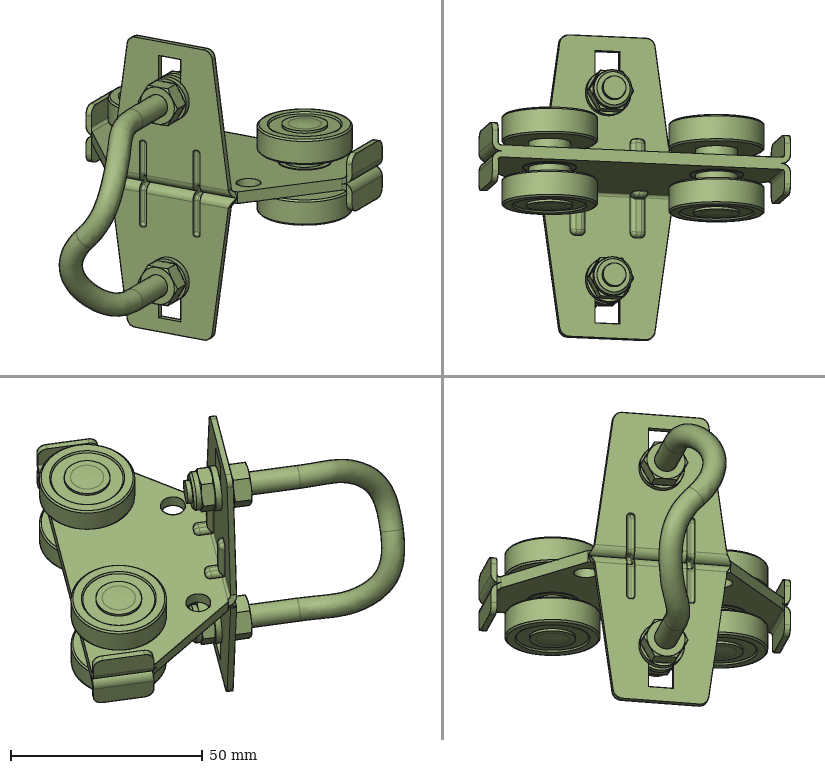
import cadquery as cq
import math


TOTAL_LENGTH = 92.5
FRONT_REACH = 47.7
TOTAL_WIDTH = 80.0
TOTAL_HEIGHT = 80.5

WEB_THICKNESS = 3.2
SHEET = WEB_THICKNESS / 2
INNER_BEND = 0.8
OUTER_BEND = INNER_BEND + SHEET
CORNER_RADIUS = 2.5
WEB_REAR = 42.4
SIDE_LIP_FRONT = 26.3
SIDE_LIP_HEIGHT = 8.0
WEB_SHOULDER_Y = 25.2
WEB_FRONT_HALF_WIDTH = 19.05
PLATE_BASE_HALF_WIDTH = 17.7
PLATE_TIP_HALF_WIDTH = 12.5
HALF_WIDTH = TOTAL_WIDTH / 2
HALF_HEIGHT = TOTAL_HEIGHT / 2

WEB_HOLE_DIAMETER = 6.5
WEB_HOLE_X = 17.9
WEB_HOLE_Y = 10.3
BOLT_SLOT_WIDTH = 6.7
BOLT_SLOT_TOP = 36.35

BEAD_X = 8.05
BEAD_HEIGHT = 1.5
BEAD_WIDTH = 4.0
BEAD_TOP = 13.2
BEAD_REAR = 6.7
BEAD_ROUNDING = 1.4
BEAD_TOP_ROUNDING = 1.3
GROOVE_WIDTH = 2.1
GROOVE_INSET = 1.2
GROOVE_END_FILLET = 0.9
GROOVE_FLOOR_FILLET = 0.7

WHEEL_X = 22.4
WHEEL_RADIUS = 12.5
WHEEL_Y = TOTAL_LENGTH - FRONT_REACH - WHEEL_RADIUS
WHEEL_BOTTOM = 4.9
WHEEL_TOP = 11.9
WHEEL_CHAMFER = 0.5
RECESS_RADIUS = 9.8
RECESS_FLOOR_RADIUS = 9.4
RECESS_DEPTH = 0.5
HUB_RADIUS = 6.0
HUB_TOP = 12.1
PIN_TIP_RADIUS = 4.35
PIN_TIP_TOP = 12.5
SPACER_RADIUS = 5.55
SHIM_RADIUS = 7.0
SHIM_TOP = 1.85

ROD_DIAMETER = 6.1
ROD_REAR = 10.3
LEG_Z = 25.0
LOOP_RADIUS = LEG_Z
LOOP_START = -FRONT_REACH + ROD_DIAMETER / 2 + LOOP_RADIUS
LOOP_SWING = 5.7
LOOP_SHOULDER_SWING = 3.1
LOOP_CROSSING_SLOPE = 1.0

NUT_FLATS = 10.3
NUT_CORNERS = NUT_FLATS / math.cos(math.pi / 6)
NUT_FACE_RADIUS = 5.1
NUT_CHAMFER = 0.3
FRONT_NUT_HEIGHT = 4.8
REAR_NUT_HEIGHT = 3.6
COLLAR_RADIUS = 5.1
COLLAR_HEIGHT = 2.0
COLLAR_CHAMFER = 0.65
WASHER_RADIUS = 5.9
WASHER_THICKNESS = 1.7


def bent_lip(plane, edge, height, length):
    """L-shaped strip whose outer face stands at local x = edge, extruded along the plane normal."""
    center = (edge - OUTER_BEND, OUTER_BEND)
    diagonal = math.sqrt(0.5)
    outer_mid = (center[0] + OUTER_BEND * diagonal, center[1] - OUTER_BEND * diagonal)
    inner_mid = (center[0] + INNER_BEND * diagonal, center[1] - INNER_BEND * diagonal)
    return (
        cq.Workplane(plane)
        .moveTo(center[0] - SHEET, 0)
        .lineTo(center[0], 0)
        .threePointArc(outer_mid, (edge, OUTER_BEND))
        .lineTo(edge, height)
        .lineTo(edge - SHEET, height)
        .lineTo(edge - SHEET, OUTER_BEND)
        .threePointArc(inner_mid, (center[0], SHEET))
        .lineTo(center[0] - SHEET, SHEET)
        .close()
        .extrude(length)
    )


def web():
    """Flat area of the upper sheet, inside all of its bend lines."""
    half_width = HALF_WIDTH - OUTER_BEND
    half_outline = [
        (WEB_FRONT_HALF_WIDTH, OUTER_BEND),
        (half_width, WEB_SHOULDER_Y),
        (half_width, WEB_REAR),
    ]
    mirrored = [(-x, y) for x, y in reversed(half_outline)]
    sheet = cq.Workplane("XY").polyline(half_outline + mirrored).close().extrude(SHEET)
    holes = (
        cq.Workplane("XY")
        .pushPoints([(-WEB_HOLE_X, WEB_HOLE_Y), (WEB_HOLE_X, WEB_HOLE_Y)])
        .circle(WEB_HOLE_DIAMETER / 2)
        .extrude(SHEET)
    )
    return sheet.cut(holes)


def side_lip():
    """Rounded lip turned up along the +X edge, its bend narrowing towards the lip."""
    plane = cq.Plane(origin=(0, WEB_REAR, 0), xDir=(1, 0, 0), normal=(0, -1, 0))
    lip = bent_lip(plane, HALF_WIDTH, SIDE_LIP_HEIGHT, WEB_REAR - WEB_SHOULDER_Y)
    bend_start = HALF_WIDTH - OUTER_BEND
    plan = (
        cq.Workplane("XY")
        .polyline([
            (bend_start - SHEET, WEB_SHOULDER_Y),
            (bend_start, WEB_SHOULDER_Y),
            (HALF_WIDTH - SHEET, SIDE_LIP_FRONT),
            (HALF_WIDTH, SIDE_LIP_FRONT),
            (HALF_WIDTH, WEB_REAR),
            (bend_start - SHEET, WEB_REAR),
        ])
        .close()
        .extrude(SIDE_LIP_HEIGHT)
    )
    return lip.intersect(plan).edges("|X and >Z").fillet(CORNER_RADIUS)


def face_plate():
    """Tapered plate turned up along the front edge, with its bolt slot."""
    half_width = WEB_FRONT_HALF_WIDTH
    plane = cq.Plane(origin=(half_width, 0, 0), xDir=(0, -1, 0), normal=(-1, 0, 0))
    plate = bent_lip(plane, 0, HALF_HEIGHT, 2 * half_width)
    half_outline = [
        (half_width, 0),
        (PLATE_BASE_HALF_WIDTH, OUTER_BEND),
        (PLATE_TIP_HALF_WIDTH, HALF_HEIGHT),
    ]
    mirrored = [(-x, z) for x, z in reversed(half_outline)]
    outline = (
        cq.Workplane("XZ", origin=(0, OUTER_BEND + SHEET, 0))
        .polyline(half_outline + mirrored)
        .close()
        .extrude(OUTER_BEND + SHEET)
        .edges("|Y and >Z")
        .fillet(CORNER_RADIUS)
    )
    slot_bottom = LEG_Z - BOLT_SLOT_WIDTH / 2
    slot = cq.Workplane("XY", origin=(0, SHEET / 2, slot_bottom)).box(
        BOLT_SLOT_WIDTH, 2 * SHEET, BOLT_SLOT_TOP - slot_bottom, centered=(True, True, False)
    )
    return plate.intersect(outline).cut(slot)


def bead(x):
    """Raised rounded rib in the corner between the web and the face plate."""
    raised = SHEET + BEAD_HEIGHT
    buried = SHEET / 2

    def rib(length):
        return (
            cq.Workplane("XY", origin=(x, buried, buried))
            .box(BEAD_WIDTH, raised - buried, length - buried, centered=(True, False, False))
            .edges("|Y")
            .fillet(BEAD_ROUNDING)
            .faces(">Y")
            .edges()
            .fillet(BEAD_TOP_ROUNDING)
        )

    upright = rib(BEAD_TOP)
    flat = rib(BEAD_REAR).mirror(cq.Vector(0, 1, -1), (x, 0, 0))
    return upright.union(flat)


def groove(x):
    """Channel pressed into the outer side of the sheet behind a bead."""
    top = BEAD_TOP - GROOVE_INSET
    rear = BEAD_REAR - GROOVE_INSET
    bend_inset = (OUTER_BEND - BEAD_HEIGHT) * math.sqrt(0.5)
    return (
        cq.Workplane("YZ", origin=(x - GROOVE_WIDTH / 2, 0, 0))
        .moveTo(0, 0)
        .lineTo(rear, 0)
        .lineTo(rear, BEAD_HEIGHT)
        .lineTo(OUTER_BEND, BEAD_HEIGHT)
        .threePointArc(
            (OUTER_BEND - bend_inset, OUTER_BEND - bend_inset),
            (BEAD_HEIGHT, OUTER_BEND),
        )
        .lineTo(BEAD_HEIGHT, top)
        .lineTo(0, top)
        .close()
        .extrude(GROOVE_WIDTH)
        .edges("|Y and >Z")
        .fillet(GROOVE_END_FILLET)
        .edges("|Z and >Y")
        .fillet(GROOVE_END_FILLET)
        .edges(cq.NearestToPointSelector((x, BEAD_HEIGHT, top)))
        .fillet(GROOVE_FLOOR_FILLET)
    )


def bent_sheet():
    lip = side_lip()
    sheet = web().union(face_plate()).union(lip).union(lip.mirror("YZ"))
    for x in (-BEAD_X, BEAD_X):
        sheet = sheet.union(bead(x))
    for x in (-BEAD_X, BEAD_X):
        sheet = sheet.cut(groove(x))
    return sheet


def wheel(x):
    """Recessed wheel turned together with its shim, spacer, hub and pointed pin."""
    profile = [
        (0, SHEET),
        (SHIM_RADIUS, SHEET),
        (SHIM_RADIUS, SHIM_TOP),
        (SPACER_RADIUS, SHIM_TOP),
        (SPACER_RADIUS, WHEEL_BOTTOM),
        (WHEEL_RADIUS - WHEEL_CHAMFER, WHEEL_BOTTOM),
        (WHEEL_RADIUS, WHEEL_BOTTOM + WHEEL_CHAMFER),
        (WHEEL_RADIUS, WHEEL_TOP - WHEEL_CHAMFER),
        (WHEEL_RADIUS - WHEEL_CHAMFER, WHEEL_TOP),
        (RECESS_RADIUS, WHEEL_TOP),
        (RECESS_FLOOR_RADIUS, WHEEL_TOP - RECESS_DEPTH),
        (HUB_RADIUS, WHEEL_TOP - RECESS_DEPTH),
        (HUB_RADIUS, HUB_TOP),
        (PIN_TIP_RADIUS, HUB_TOP),
        (0, PIN_TIP_TOP),
    ]
    turned = cq.Workplane("XZ").polyline(profile).close().revolve(360, (0, 0), (0, 1))
    return turned.translate((x, WHEEL_Y, 0))


def rod_along_y(radius, front, rear):
    """Cylinder on the upper U-bolt leg axis between two Y positions."""
    return cq.Workplane("XZ", origin=(0, rear, LEG_Z)).circle(radius).extrude(rear - front)


def hex_nut(front, height):
    """Hex nut with corners along X and both ends turned to a slight cone."""
    rear = front + height
    hexagon = cq.Workplane("XZ", origin=(0, rear, LEG_Z)).polygon(6, NUT_CORNERS).extrude(height)
    cone_rise = NUT_CORNERS / 2 - NUT_FACE_RADIUS
    turned = rod_along_y(NUT_FACE_RADIUS + cone_rise, front, rear)
    return hexagon.intersect(turned.edges().chamfer(NUT_CHAMFER, cone_rise))


def leg_hardware():
    """Upper U-bolt leg with a washer and nut on each side of the face plate."""
    washers_front = -WASHER_THICKNESS
    washers_rear = SHEET + WASHER_THICKNESS
    collar_front = washers_rear + REAR_NUT_HEIGHT
    collar = rod_along_y(COLLAR_RADIUS, collar_front, collar_front + COLLAR_HEIGHT)
    return (
        rod_along_y(ROD_DIAMETER / 2, LOOP_START, ROD_REAR)
        .union(rod_along_y(WASHER_RADIUS, washers_front, 0))
        .union(rod_along_y(WASHER_RADIUS, SHEET, washers_rear))
        .union(hex_nut(washers_front - FRONT_NUT_HEIGHT, FRONT_NUT_HEIGHT))
        .union(hex_nut(washers_rear, REAR_NUT_HEIGHT))
        .union(collar.faces(">Y").edges().chamfer(COLLAR_CHAMFER))
    )


def twisted_loop():
    """Round rod bent to a half circle from the side and to an S from the front."""
    points = [(0, LOOP_START, LEG_Z)]
    swings = [LOOP_SHOULDER_SWING, LOOP_SWING, 0]
    for index, swing in enumerate(swings, start=1):
        angle = math.pi / 2 * (1 - index / len(swings))
        points.append((swing, LOOP_START - LOOP_RADIUS * math.cos(angle), LOOP_RADIUS * math.sin(angle)))
    path = cq.Workplane("XY").spline(points, tangents=[(0, -1, 0), (-LOOP_CROSSING_SLOPE, 0, -1)])
    section = cq.Workplane("XZ", origin=points[0]).circle(ROD_DIAMETER / 2)
    upper = section.sweep(path)
    return upper.union(upper.rotate((0, 0, 0), (0, 1, 0), 180))


upper_half = bent_sheet().union(leg_hardware())
for wheel_x in (-WHEEL_X, WHEEL_X):
    upper_half = upper_half.union(wheel(wheel_x))

result = upper_half.union(upper_half.mirror("XY")).union(twisted_loop())